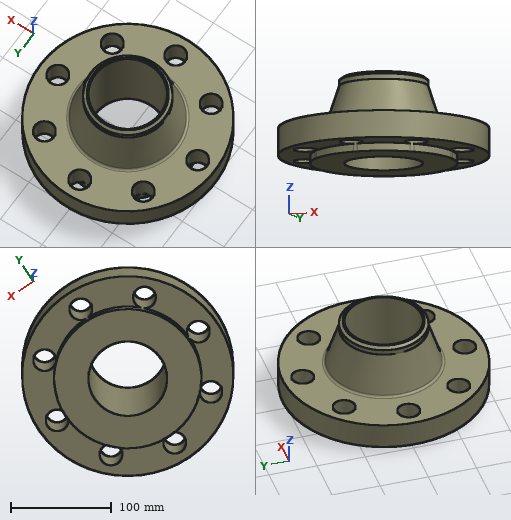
import cadquery as cq

flange_diameter = 209.5
flange_thickness = 27.0
raised_face_diameter = 146.0
raised_face_height = 8.0
overall_height = 85.7

hub_base_diameter = 117.1
hub_base_fillet = 3.0
weld_end_diameter = 88.8
weld_end_height = 8.4
bevel_height = 3.0
weld_land_width = 1.57
bore_diameter = 78.0

bolt_count = 8
bolt_circle_diameter = 168.0
bolt_hole_diameter = 22.5

flange_radius = flange_diameter / 2
raised_face_radius = raised_face_diameter / 2
hub_base_radius = hub_base_diameter / 2
weld_end_radius = weld_end_diameter / 2
bore_radius = bore_diameter / 2
weld_land_radius = bore_radius + weld_land_width

flange_top = raised_face_height + flange_thickness
taper_top = overall_height - weld_end_height
bevel_bottom = overall_height - bevel_height


def make_body():
    """Revolve the bored flange, raised face and welding neck about Z."""
    half_section = (
        cq.Workplane("XZ")
        .moveTo(bore_radius, 0)
        .lineTo(raised_face_radius, 0)
        .lineTo(raised_face_radius, raised_face_height)
        .lineTo(flange_radius, raised_face_height)
        .lineTo(flange_radius, flange_top)
        .lineTo(hub_base_radius, flange_top)
        .lineTo(weld_end_radius, taper_top)
        .lineTo(weld_end_radius, bevel_bottom)
        .lineTo(weld_land_radius, overall_height)
        .lineTo(bore_radius, overall_height)
        .close()
    )
    return half_section.revolve(360, (0, 0, 0), (0, 1, 0))


def round_hub_base(body):
    """Fillet the circle where the tapered hub meets the flange."""
    third_largest = -3
    hub_base_edge = cq.selectors.RadiusNthSelector(third_largest)
    return body.edges(hub_base_edge).fillet(hub_base_fillet)


def make_bolt_holes():
    """Full-height drills; their inner sides nick the rim of the raised face."""
    return (
        cq.Workplane("XY")
        .polarArray(bolt_circle_diameter / 2, 0, 360, bolt_count)
        .circle(bolt_hole_diameter / 2)
        .extrude(overall_height)
    )


result = round_hub_base(make_body()).cut(make_bolt_holes())